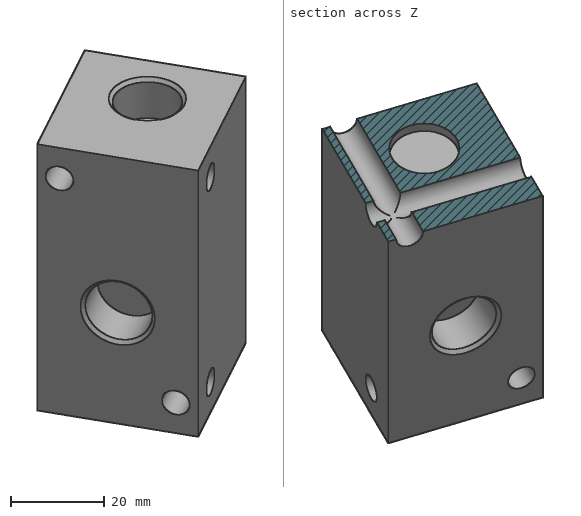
import cadquery as cq

width = 36.0
depth = 37.0
height = 69.5

port_diameter = 14.95
port_mouth_diameter = 16.6
port_chamfer = (port_mouth_diameter - port_diameter) / 2
top_port_y = 4.6
top_port_depth = 10.2
front_port_z = 29.0
front_port_depth = 10.2

mount_diameter = 6.2
mount_end_margin = 8.0
mount_offset_x = 13.0
cross_front_margin = 9.5

front_y = -depth / 2
upper_z = height - mount_end_margin
lower_z = mount_end_margin


def port(face_point, inward, bore_depth):
    """Blind bore starting at face_point, with a conical mouth chamfer."""
    start = cq.Vector(*face_point)
    direction = cq.Vector(*inward)
    bore = cq.Solid.makeCylinder(port_diameter / 2, bore_depth, start, direction)
    mouth = cq.Solid.makeCone(
        port_mouth_diameter / 2, port_diameter / 2, port_chamfer, start, direction
    )
    return cq.Workplane(obj=bore).union(cq.Workplane(obj=mouth))


def through_hole(face_point, inward, length):
    """Plain mounting hole of the given length."""
    return cq.Workplane(
        obj=cq.Solid.makeCylinder(
            mount_diameter / 2, length, cq.Vector(*face_point), cq.Vector(*inward)
        )
    )


result = cq.Workplane("XY").box(width, depth, height, centered=(True, True, False))

result = result.cut(port((0, top_port_y, height), (0, 0, -1), top_port_depth))
result = result.cut(port((0, front_y, front_port_z), (0, 1, 0), front_port_depth))

for x, z in ((-mount_offset_x, upper_z), (mount_offset_x, lower_z)):
    result = result.cut(through_hole((x, front_y, z), (0, 1, 0), depth))

for z in (upper_z, lower_z):
    start = (-width / 2, front_y + cross_front_margin, z)
    result = result.cut(through_hole(start, (1, 0, 0), width))